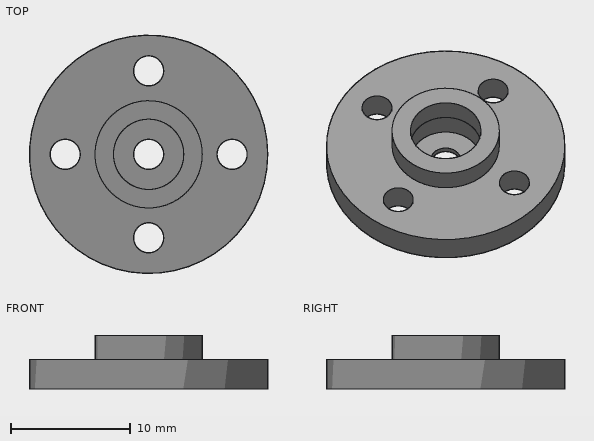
import cadquery as cq

FLANGE_DIAMETER = 20.0
FLANGE_THICKNESS = 2.5
HOLE_DIAMETER = 2.5
BOLT_COUNT = 4
BOLT_CIRCLE_DIAMETER = 14.0

BORE_DIAMETER = 5.9
FLOOR_THICKNESS = 0.5
RECESS_DEPTH = FLANGE_THICKNESS - FLOOR_THICKNESS

COLLAR_DIAMETER = 9.0
COLLAR_HEIGHT = 2.0


def make_flange():
    """Disc with a ring of bolt holes and a stepped central hole."""
    flange = cq.Workplane("XY").circle(FLANGE_DIAMETER / 2).extrude(FLANGE_THICKNESS)
    flange = (
        flange.faces(">Z")
        .workplane()
        .polarArray(BOLT_CIRCLE_DIAMETER / 2, 0, 360, BOLT_COUNT)
        .hole(HOLE_DIAMETER)
    )
    return (
        flange.faces(">Z")
        .workplane(origin=(0, 0, FLANGE_THICKNESS))
        .cboreHole(HOLE_DIAMETER, BORE_DIAMETER, RECESS_DEPTH)
    )


def make_collar():
    """Plain ring whose bore continues the recess in the flange."""
    return (
        cq.Workplane("XY", origin=(0, 0, FLANGE_THICKNESS))
        .circle(COLLAR_DIAMETER / 2)
        .circle(BORE_DIAMETER / 2)
        .extrude(COLLAR_HEIGHT)
    )


flange = make_flange()
collar = make_collar()

result = cq.Compound.makeCompound([flange.val(), collar.val()])